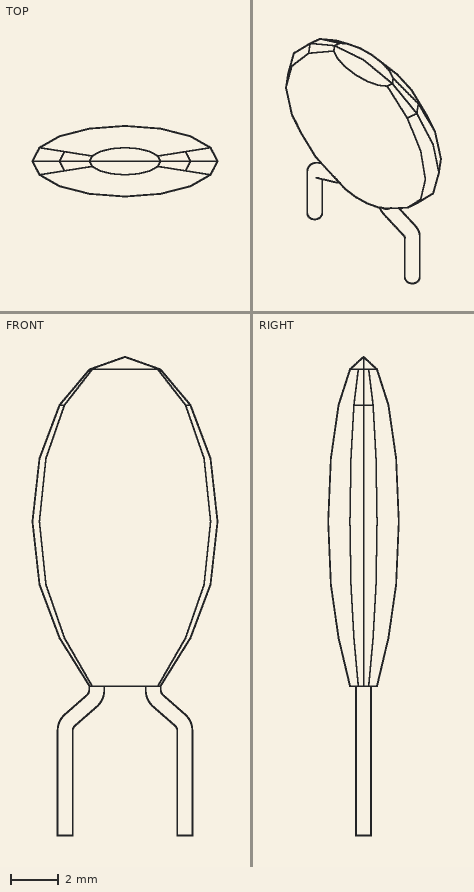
import cadquery as cq
import math

total_height = 20.32
body_width = 7.86
body_depth = 3.0
body_half_height = 7.0
meridian_count = 16
band_count = 8

lead_diameter = 0.65
lead_tip_offset = 2.55
lead_root_offset = 1.2
lower_bend_height = 4.45
upper_bend_height = 6.18
bend_radius = 0.6

body_center_height = total_height - body_half_height
body_base_height = body_center_height - body_half_height

bend_run = lead_tip_offset - lead_root_offset
bend_rise = upper_bend_height - lower_bend_height
center_run = bend_run - 2 * bend_radius
slope_length = math.sqrt(center_run**2 + bend_rise**2 - (2 * bend_radius) ** 2)
bend_angle = math.pi - math.atan2(bend_rise, center_run) - math.atan2(slope_length, 2 * bend_radius)


def body_ring(band):
    """Corner points of the ring that many bands below the tip."""
    polar_angle = math.pi * band / band_count
    ring_scale = math.sin(polar_angle)
    height = body_center_height + body_half_height * math.cos(polar_angle)
    if band == band_count - 1:
        height = body_base_height
    points = []
    for meridian in range(meridian_count):
        turn = 2 * math.pi * meridian / meridian_count
        x = body_width / 2 * ring_scale * math.cos(turn)
        y = body_depth / 2 * ring_scale * math.sin(turn)
        points.append(cq.Vector(x, y, height))
    return points


def flat_face(*corners):
    return cq.Face.makeFromWires(cq.Wire.makePolygon(list(corners), close=True))


def make_body():
    tip = cq.Vector(0, 0, total_height)
    rings = [body_ring(band) for band in range(1, band_count)]
    faces = [flat_face(*reversed(rings[-1]))]
    for this in range(meridian_count):
        after = (this + 1) % meridian_count
        faces.append(flat_face(tip, rings[0][this], rings[0][after]))
        for upper, lower in zip(rings, rings[1:]):
            faces.append(flat_face(upper[this], lower[this], lower[after]))
            faces.append(flat_face(upper[this], lower[after], upper[after]))
    return cq.Solid.makeSolid(cq.Shell.makeShell(faces))


def lower_bend_point(angle):
    """Centreline point (X, Z) of the lower bend after turning inward by the angle."""
    x = lead_tip_offset - bend_radius * (1 - math.cos(angle))
    z = lower_bend_height + bend_radius * math.sin(angle)
    return x, z


def upper_bend_point(angle):
    """Centreline point (X, Z) of the upper bend, by the angle left to turn upright."""
    x = lead_root_offset + bend_radius * (1 - math.cos(angle))
    z = upper_bend_height - bend_radius * math.sin(angle)
    return x, z


def make_lead():
    """The lead on the +X side, from its tip up to the body's base."""
    centreline = (
        cq.Workplane("XZ")
        .moveTo(lead_tip_offset, 0)
        .lineTo(lead_tip_offset, lower_bend_height)
        .threePointArc(lower_bend_point(bend_angle / 2), lower_bend_point(bend_angle))
        .lineTo(*upper_bend_point(bend_angle))
        .threePointArc(upper_bend_point(bend_angle / 2), upper_bend_point(0))
        .lineTo(lead_root_offset, body_base_height)
    )
    section = cq.Workplane("XY").center(lead_tip_offset, 0).circle(lead_diameter / 2)
    return section.sweep(centreline).val()


body = make_body()

leads = []
for turn_degrees in (0, 180):
    leads.append(make_lead().rotate(cq.Vector(0, 0, 0), cq.Vector(0, 0, 1), turn_degrees))

result = cq.Compound.makeCompound([body, *leads])